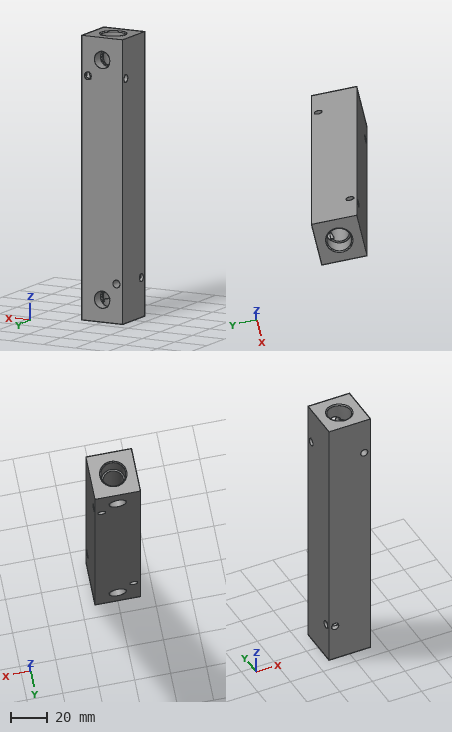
import cadquery as cq

SIDE = 25.4
LENGTH = 158.8

BORE_DIAMETER = 11.1
PORT_MOUTH_DIAMETER = 15.0
PORT_DIAMETER = 13.7
PORT_DEPTH = 9.8
PORT_TAPER = 1 / 16
PORT_CHAMFER = (PORT_MOUTH_DIAMETER - PORT_DIAMETER) / 2
PORT_FLOOR_DIAMETER = PORT_DIAMETER - PORT_TAPER * (PORT_DEPTH - PORT_CHAMFER)

SIDE_PORT_DIAMETER = 9.5
SIDE_PORT_DEPTH = 6.8
SIDE_DRILL_DIAMETER = 8.0
SIDE_PORT_END_DISTANCE = 12.5

MOUNT_DIAMETER = 4.3
MOUNT_OFFSET = 8.9
MOUNT_SPACING = 114.3


def make_bore():
    """Through bore with a chamfered, tapered port at both ends, as a solid of revolution."""
    end = LENGTH / 2
    bore_radius = BORE_DIAMETER / 2
    port_radius = PORT_DIAMETER / 2
    floor_radius = PORT_FLOOR_DIAMETER / 2
    mouth_radius = PORT_MOUTH_DIAMETER / 2
    upper_half = (
        cq.Workplane("XZ")
        .moveTo(0, 0)
        .lineTo(bore_radius, 0)
        .lineTo(bore_radius, end - PORT_DEPTH)
        .lineTo(floor_radius, end - PORT_DEPTH)
        .lineTo(port_radius, end - PORT_CHAMFER)
        .lineTo(mouth_radius, end)
        .lineTo(0, end)
        .close()
        .revolve(360, (0, 0), (0, 1))
    )
    return upper_half.union(upper_half.mirror("XY"))


def make_side_port(height):
    """Counterbored hole from the +Y face to the middle of the bore."""
    face = cq.Workplane("XZ", origin=(0, SIDE / 2, height))
    counterbore = face.circle(SIDE_PORT_DIAMETER / 2).extrude(SIDE_PORT_DEPTH)
    drill = face.circle(SIDE_DRILL_DIAMETER / 2).extrude(SIDE / 2)
    return counterbore.union(drill)


def make_mount_hole(plane, offset, height):
    """Hole right across the bar, normal to the given vertical plane."""
    return (
        cq.Workplane(plane)
        .center(offset, height)
        .circle(MOUNT_DIAMETER / 2)
        .extrude(SIDE, both=True)
    )


result = cq.Workplane("XY").box(SIDE, SIDE, LENGTH).cut(make_bore())

for sign in (1, -1):
    result = result.cut(make_side_port(sign * (LENGTH / 2 - SIDE_PORT_END_DISTANCE)))
    for plane in ("XZ", "YZ"):
        hole = make_mount_hole(plane, sign * MOUNT_OFFSET, sign * MOUNT_SPACING / 2)
        result = result.cut(hole)